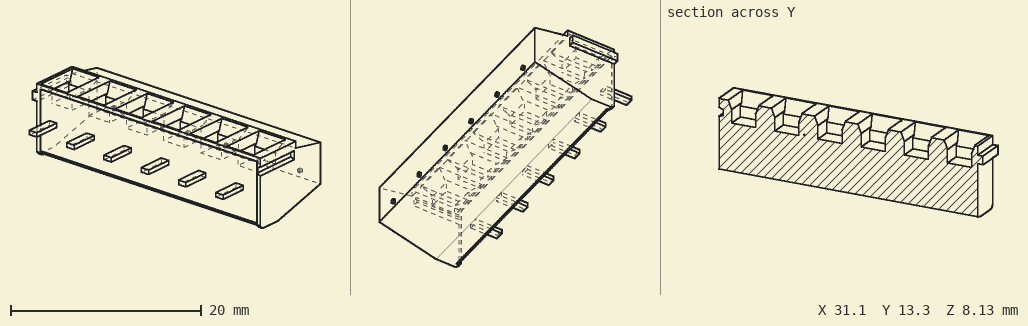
import cadquery as cq

pole_count = 6
pole_pitch = 5.08
first_pole_to_end = 2.16

housing_length = pole_count * pole_pitch
housing_depth = 9.85
housing_height = 8.13

step_y = 5.80
step_z = 7.36
back_top_z = 6.64
back_bottom_z = 1.90
slope_start_y = 2.84
front_chamfer = 0.35

frame_width = 0.51
recess_depth = 0.08
recess_chamfer = 0.55

pocket_front_y = 0.19
pocket_back_y = 5.43
pocket_width = 3.56
well_front_y = 1.50
well_back_y = 4.28
well_width = 2.78
side_slope_depth = 1.00
end_slope_depth = 1.27
pocket_depth = 2.50

pin_width = 1.00
pin_thickness = 0.50
pin_z = 4.09
pin_reach = 3.20

stud_diameter = 0.50
stud_z = 2.60
stud_reach = 0.22

rail_reach = 0.61
rail_length = 5.55
rail_bottom_z = 6.12
rail_top_z = 7.12
groove_depth = 0.50
groove_floor_bottom_z = 6.29
groove_floor_top_z = 6.90

left_x = -first_pole_to_end
right_x = left_x + housing_length
pole_positions = [pole * pole_pitch for pole in range(pole_count)]


def box(x_range, y_range, z_range):
    """Axis-aligned box between the given limits."""
    size = [high - low for low, high in (x_range, y_range, z_range)]
    corner = (x_range[0], y_range[0], z_range[0])
    return cq.Workplane("XY").box(*size, centered=False).translate(corner)


def extrude_profile(points, start_x, length):
    """Closed (Y, Z) outline extruded along +X."""
    return cq.Workplane("YZ", origin=(start_x, 0, 0)).polyline(points).close().extrude(length)


def make_housing():
    outline = [
        (front_chamfer, 0),
        (slope_start_y, 0),
        (housing_depth, back_bottom_z),
        (housing_depth, back_top_z),
        (step_y, step_z),
        (step_y, housing_height),
        (0, housing_height),
        (0, front_chamfer),
    ]
    return extrude_profile(outline, left_x, housing_length)


def make_front_recess():
    """Shallow cut between the end frames, with its own bottom chamfer."""
    top_z = housing_height - frame_width
    outline = [
        (0, top_z),
        (recess_depth, top_z),
        (recess_depth, recess_chamfer),
        (recess_depth + recess_chamfer, 0),
        (0, 0),
    ]
    return extrude_profile(outline, left_x + frame_width, housing_length - 2 * frame_width)


def make_pocket(x):
    """Common volume of a tapered section across X and a tapered section across Y."""
    pocket_length = pocket_back_y - pocket_front_y
    floor_z = housing_height - pocket_depth
    side_slope_z = housing_height - side_slope_depth
    end_slope_z = housing_height - end_slope_depth
    section_across_x = [
        (x - pocket_width / 2, housing_height),
        (x - well_width / 2, side_slope_z),
        (x - well_width / 2, floor_z),
        (x + well_width / 2, floor_z),
        (x + well_width / 2, side_slope_z),
        (x + pocket_width / 2, housing_height),
    ]
    section_across_y = [
        (pocket_front_y, housing_height),
        (well_front_y, end_slope_z),
        (well_front_y, floor_z),
        (well_back_y, floor_z),
        (well_back_y, end_slope_z),
        (pocket_back_y, housing_height),
    ]
    front_plane = cq.Workplane("XZ", origin=(0, pocket_front_y, 0))
    between_sides = front_plane.polyline(section_across_x).close().extrude(-pocket_length)
    between_ends = extrude_profile(section_across_y, x - pocket_width / 2, pocket_width)
    return between_sides.intersect(between_ends)


def make_pin(x):
    return box(
        (x - pin_width / 2, x + pin_width / 2),
        (-pin_reach, recess_depth),
        (pin_z - pin_thickness / 2, pin_z + pin_thickness / 2),
    )


def make_stud(x):
    back_plane = cq.Workplane("XZ", origin=(x, housing_depth, stud_z))
    return back_plane.circle(stud_diameter / 2).extrude(-stud_reach)


def make_rail():
    return box((left_x - rail_reach, left_x), (0, rail_length), (rail_bottom_z, rail_top_z))


def make_groove():
    """Groove that narrows toward its floor, open at the front."""
    floor_x = right_x - groove_depth
    outline = [
        (right_x, rail_bottom_z),
        (right_x, rail_top_z),
        (floor_x, groove_floor_top_z),
        (floor_x, groove_floor_bottom_z),
    ]
    return cq.Workplane("XZ").polyline(outline).close().extrude(-rail_length)


result = make_housing().cut(make_front_recess()).union(make_rail()).cut(make_groove())
for pole_x in pole_positions:
    result = result.cut(make_pocket(pole_x)).union(make_pin(pole_x)).union(make_stud(pole_x))